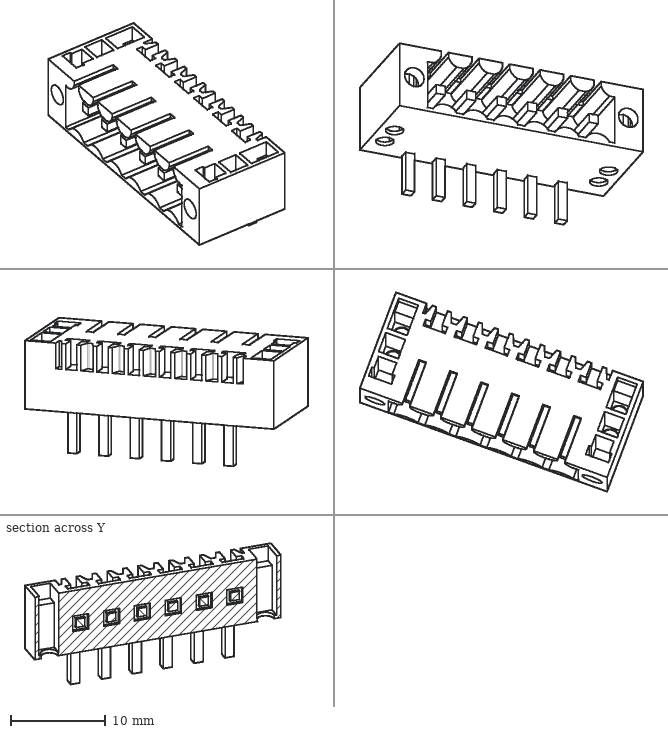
import cadquery as cq


length = 27.9
depth = 11.05
height = 7.45

pin_count = 6
row_span = 17.5
pitch = row_span / (pin_count - 1)
pin_xs = [(i - (pin_count - 1) / 2) * pitch for i in range(pin_count)]
gap_xs = [(i - pin_count / 2) * pitch for i in range(pin_count + 1)]

pin_size = 1.03
pin_tip_y = 1.17
pin_back_y = depth - 0.33
pin_axis_z = 3.5
overall_height = 11.95
pin_tail = overall_height - height

cavity_width = 21.43
cavity_depth = 7.8
cavity_floor = 0.42
cavity_ceiling = 6.98
bump_radius = 1.62
bump_height = 0.75
rib_bottom_z = 5.9
rib_bottom_width = 0.8
rib_shoulder_z = 6.9
rib_side_radius = 1.48

recess_size = 1.75
recess_depth = 0.55

roof_slot_width = 0.8
roof_slot_length = 5.05

rear_cut_depth = 2.8
tee_stem_width = 1.25
tee_stem_length = 1.67
tee_bar_width = 2.48
tee_bar_length = 0.7
notch_mouth = 1.37
notch_end = 0.55
notch_length = 1.1
notch_round = 0.1

pocket_inner_x = 11.25
pocket_outer_x = 13.45
pocket_floor = 0.42
rear_pocket_back_y = depth - 0.5
rear_pocket_front_y = depth - 3.95
ledge_front_y = depth - 1.67
ledge_depth = 1.75
middle_pocket_back_y = depth - 4.46
middle_pocket_front_y = depth - 6.65
peg_hole_diameter = 1.9
peg_hole_x = 12.25
peg_hole_ys = [depth - 2.85, depth - 5.55]

nut_back_y = depth - 7.15
nut_step_y = depth - 8.48
nut_front_y = depth - 9.49
nut_narrow_outer_x = 13.28
nut_wide_inner_x = 10.96
nut_wide_outer_x = 13.53
screw_hole_diameter = 2.2
screw_hole_x = 12.25
screw_hole_z = 3.75


def block(x_range, y_range, z_range):
    """Box spanning two limits along each axis, given in either order."""
    x0, x1 = sorted(x_range)
    y0, y1 = sorted(y_range)
    z0, z1 = sorted(z_range)
    return cq.Workplane("XY").box(x1 - x0, y1 - y0, z1 - z0, centered=False).translate((x0, y0, z0))


def centered_block(x, width, y_range, z_range):
    """Box of a given width centred on x."""
    return block((x - width / 2, x + width / 2), y_range, z_range)


def rod(x, z, radius, length_y):
    """Cylinder along Y that starts at the mating face."""
    return cq.Workplane("XZ").center(x, z).circle(radius).extrude(-length_y)


def make_pin(x):
    """Square pin with a level contact at the front and a solder tail at the back."""
    half = pin_size / 2
    contact = centered_block(x, pin_size, (pin_tip_y, pin_back_y), (pin_axis_z - half, pin_axis_z + half))
    tail = centered_block(x, pin_size, (pin_back_y - pin_size, pin_back_y), (-pin_tail, pin_axis_z))
    return contact.union(tail)


def make_rib(x):
    """Rib along Y with a flat underside and rounded flanks, as wide as the roof between two slots."""
    half_top = (pitch - roof_slot_width) / 2
    half_bottom = rib_bottom_width / 2
    return (
        cq.Workplane("XZ", origin=(x, 0, 0))
        .moveTo(-half_top, cavity_ceiling)
        .lineTo(-half_top, rib_shoulder_z)
        .radiusArc((-half_bottom, rib_bottom_z), -rib_side_radius)
        .lineTo(half_bottom, rib_bottom_z)
        .radiusArc((half_top, rib_shoulder_z), -rib_side_radius)
        .lineTo(half_top, cavity_ceiling)
        .close()
        .extrude(-cavity_depth)
    )


def make_cavity():
    """Mating space with round bumps on its floor and ribs hanging from its ceiling."""
    cavity = centered_block(0, cavity_width, (0, cavity_depth), (cavity_floor, cavity_ceiling))
    for x in pin_xs:
        cavity = cavity.cut(rod(x, cavity_floor + bump_height - bump_radius, bump_radius, cavity_depth))
    for x in gap_xs:
        cavity = cavity.cut(make_rib(x))
    return cavity


def make_recess(x):
    """Square recess around one pin, sunk into the back wall of the cavity."""
    half = recess_size / 2
    y_range = (cavity_depth, cavity_depth + recess_depth)
    return centered_block(x, recess_size, y_range, (pin_axis_z - half, pin_axis_z + half))


def make_roof_slot(x):
    """Slot above one pin, open to the mating face and down into the cavity."""
    return centered_block(x, roof_slot_width, (0, roof_slot_length), (rib_shoulder_z, height))


def make_tee_slot(x):
    """T-shaped pocket whose stem opens through the back face."""
    z_range = (height - rear_cut_depth, height)
    stem_front_y = depth - tee_stem_length
    stem = centered_block(x, tee_stem_width, (stem_front_y, depth), z_range)
    bar = centered_block(x, tee_bar_width, (stem_front_y - tee_bar_length, stem_front_y), z_range)
    return stem.union(bar)


def make_notch(x):
    """Notch that narrows from the back face to a flat end with rounded corners."""
    notch = (
        cq.Workplane("XY", origin=(x, depth, height))
        .moveTo(-notch_mouth / 2, 0)
        .lineTo(-notch_end / 2, -notch_length)
        .lineTo(notch_end / 2, -notch_length)
        .lineTo(notch_mouth / 2, 0)
        .close()
        .extrude(-rear_cut_depth)
    )
    return notch.edges("|Z").edges("<Y").fillet(notch_round)


def make_notches():
    """Notches between the T-slots; the two outermost are halved at the ends of the row."""
    row = centered_block(0, pin_count * pitch, (0, depth), (0, height))
    return [make_notch(x).intersect(row) for x in gap_xs]


def make_flange_cuts(side):
    """Pockets and holes of one end flange; side is -1 for the -X end and 1 for the +X end."""
    pocket_x = (side * pocket_inner_x, side * pocket_outer_x)
    deep = (pocket_floor, height)
    cuts = [
        block(pocket_x, (rear_pocket_front_y, ledge_front_y), deep),
        block(pocket_x, (ledge_front_y, rear_pocket_back_y), (height - ledge_depth, height)),
        block(pocket_x, (middle_pocket_front_y, middle_pocket_back_y), deep),
        block((side * pocket_inner_x, side * nut_narrow_outer_x), (nut_step_y, nut_back_y), deep),
        block((side * nut_wide_inner_x, side * nut_wide_outer_x), (nut_front_y, nut_step_y), deep),
        rod(side * screw_hole_x, screw_hole_z, screw_hole_diameter / 2, nut_step_y),
    ]
    for y in peg_hole_ys:
        hole = cq.Workplane("XY").center(side * peg_hole_x, y).circle(peg_hole_diameter / 2).extrude(height / 2)
        cuts.append(hole)
    return cuts


def make_housing():
    """Block with the cavity, slots, pockets and a fitting passage for every pin."""
    housing = centered_block(0, length, (0, depth), (0, height)).cut(make_cavity())
    for x in pin_xs:
        housing = housing.cut(make_recess(x))
        housing = housing.cut(make_roof_slot(x))
        housing = housing.cut(make_tee_slot(x))
        housing = housing.cut(make_pin(x))
    for notch in make_notches():
        housing = housing.cut(notch)
    for side in (-1, 1):
        for cut in make_flange_cuts(side):
            housing = housing.cut(cut)
    return housing


housing = make_housing()
pins = [make_pin(x) for x in pin_xs]

result = cq.Compound.makeCompound([housing.val(), *[pin.val() for pin in pins]])